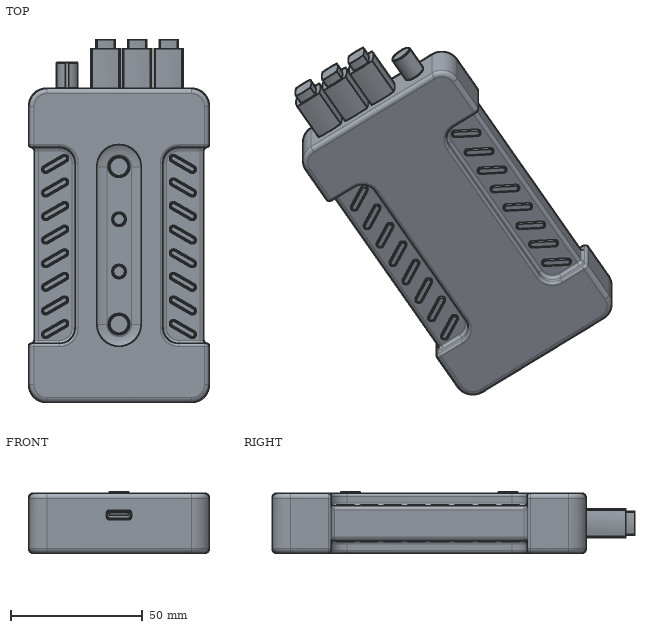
import cadquery as cq
import math

case_width = 69.0
case_length = 119.9
case_height = 23.0
case_corner_radius = 6.9
case_edge_radius = 2.0

grip_length = 74.8
grip_inner_x = 16.8
grip_corner_radius = 6.0
grip_rim_radius = 1.1
grip_root_radius = 1.2
waist_width = 64.8
waist_height = 13.3
waist_edge_radius = 1.5

rib_count = 8
rib_pitch = 9.0
rib_width = 2.9
rib_top_width = 1.8
rib_height = 0.48
rib_center_span = 8.3
rib_angle = 30.0
rib_x = 24.4
rib_row_y = -0.4

groove_half_width = 8.5
groove_floor_half_width = 4.7
groove_depth = 1.0
groove_end_y = 30.0

button_hole_diameter = 8.2
button_diameter = 7.5
button_chamfer = 0.3
button_protrusion = 0.5
light_hole_diameter = 5.4
light_diameter = 4.3
light_y = 10.0
ring_gap_depth = 0.5

socket_width = 9.5
socket_height = 3.7
socket_corner_radius = 1.2
socket_wall = 0.5
socket_z = 3.2
socket_rim_depth = 0.4
socket_tongue_width = 7.2
socket_tongue_height = 1.0
socket_tongue_recess = 1.2
socket_tongue_lift = 0.3
socket_depth = 3.0

overall_length = 138.5
jack_x = -19.8
jack_diameter = 8.2
jack_length = 9.8
jack_chamfer = 0.3
jack_groove_diameter = 1.2
plug_count = 3
plug_middle_x = 6.9
plug_pitch = 12.0
plug_body_width = 11.2
plug_body_height = 11.1
plug_body_length = 15.1
plug_tip_width = 7.3
plug_tip_height = 9.1
plug_body_bulge = 0.5
plug_tip_bulge = 0.4

top_z = case_height / 2
back_y = case_length / 2
front_y = -back_y
groove_floor_z = top_z - groove_depth
sink = 1.4
pick_margin = 0.1


def grip_window(side):
    """Cutter for one side window, open outwards, with rounded inner corners."""
    reach = case_width - grip_inner_x
    return (
        cq.Workplane("XY")
        .box(reach, grip_length, 2 * case_height)
        .translate((grip_inner_x + reach / 2, 0, 0))
        .edges("|Z and <X")
        .fillet(grip_corner_radius)
        .rotate((0, 0, 0), (0, 0, 1), 0 if side > 0 else 180)
    )


def inner_grip_edges(side, z):
    """Select the edges around the inner end of one grip window at height z."""
    near = side * (grip_inner_x - pick_margin)
    far = side * (grip_inner_x + grip_corner_radius + pick_margin)
    half_length = grip_length / 2 + pick_margin
    return cq.selectors.BoxSelector(
        (min(near, far), -half_length, z - pick_margin),
        (max(near, far), half_length, z + pick_margin),
        boundingbox=True,
    )


def build_case():
    case = (
        cq.Workplane("XY")
        .box(case_width, case_length, case_height)
        .edges("|Z")
        .fillet(case_corner_radius)
        .faces("<Z or >Z")
        .edges()
        .fillet(case_edge_radius)
    )
    for side in (-1, 1):
        case = case.cut(grip_window(side))
    for side in (-1, 1):
        case = case.edges(inner_grip_edges(side, top_z)).fillet(grip_rim_radius)
    waist = (
        cq.Workplane("XY")
        .box(waist_width, grip_length, waist_height)
        .edges("|Y")
        .fillet(waist_edge_radius)
    )
    case = case.union(waist)
    for side in (-1, 1):
        case = case.edges(inner_grip_edges(side, waist_height / 2)).fillet(grip_root_radius)
    return case


def build_rib():
    """One rib lying along X on Z = 0, with sides sloping in to a narrower top."""
    slope_run = (rib_width - rib_top_width) / 2
    slope_angle = math.degrees(math.atan(slope_run / rib_height))
    foot = cq.Workplane("XY").slot2D(rib_center_span + rib_width, rib_width).extrude(-sink)
    ridge = (
        cq.Workplane("XY")
        .slot2D(rib_center_span + rib_width, rib_width)
        .extrude(rib_height, taper=slope_angle)
    )
    return foot.union(ridge)


def add_ribs(case):
    rib = build_rib().rotate((0, 0, 0), (0, 0, 1), rib_angle)
    for index in range(rib_count):
        y = rib_row_y + (index - (rib_count - 1) / 2) * rib_pitch
        top_left = rib.translate((-rib_x, y, waist_height / 2))
        top_pair = top_left.union(top_left.mirror("YZ"))
        case = case.union(top_pair).union(top_pair.mirror("XY"))
    return case


def groove_half_profile():
    """Half cross-section of the dish: flat floor with a side curving up to the top face."""
    run = groove_half_width - groove_floor_half_width
    arc_radius = (run**2 + groove_depth**2) / (2 * groove_depth)
    half_angle = math.asin(run / arc_radius) / 2
    middle_x = groove_floor_half_width + arc_radius * math.sin(half_angle)
    middle_z = groove_floor_z + arc_radius * (1 - math.cos(half_angle))
    return (
        cq.Workplane("XZ")
        .moveTo(0, groove_floor_z)
        .lineTo(groove_floor_half_width, groove_floor_z)
        .threePointArc((middle_x, middle_z), (groove_half_width, top_z))
        .lineTo(0, top_z)
        .close()
    )


def groove_cutter():
    """Straight dished channel with a bowl of the same section at each end."""
    half_channel = groove_half_profile().extrude(groove_end_y, both=True)
    bowl = groove_half_profile().revolve(360, (0, 0, 0), (0, 1, 0))
    cutter = half_channel.union(half_channel.mirror("YZ"))
    for y in (-groove_end_y, groove_end_y):
        cutter = cutter.union(bowl.translate((0, y, 0)))
    return cutter


def ring_gap(outer_diameter, inner_diameter, y):
    """Cutter for a narrow ring in the groove floor."""
    return (
        cq.Workplane("XY")
        .workplane(offset=groove_floor_z - ring_gap_depth)
        .center(0, y)
        .circle(outer_diameter / 2)
        .circle(inner_diameter / 2)
        .extrude(ring_gap_depth + groove_depth)
    )


def build_button(y):
    return (
        cq.Workplane("XY")
        .workplane(offset=groove_floor_z - sink)
        .center(0, y)
        .circle(button_diameter / 2)
        .extrude(sink + groove_depth + button_protrusion)
        .faces(">Z")
        .edges()
        .chamfer(button_chamfer)
    )


def add_controls(case):
    case = case.cut(groove_cutter())
    for side in (-1, 1):
        case = case.cut(ring_gap(light_hole_diameter, light_diameter, side * light_y))
        case = case.cut(ring_gap(button_hole_diameter, button_diameter, side * groove_end_y))
        case = case.union(build_button(side * groove_end_y))
    return case


def socket_step(margin, depth):
    """Rounded opening cut into the front end, inset all round by a margin."""
    return (
        cq.Workplane("XZ", origin=(0, front_y, socket_z))
        .rect(socket_width - 2 * margin, socket_height - 2 * margin)
        .extrude(-depth)
        .edges("|Y")
        .fillet(socket_corner_radius - margin)
    )


def socket_cutter():
    """Rimmed socket opening, leaving a contact tongue standing inside."""
    tongue_z = socket_z + socket_tongue_lift
    tongue = (
        cq.Workplane("XZ", origin=(0, front_y + socket_tongue_recess, tongue_z))
        .rect(socket_tongue_width, socket_tongue_height)
        .extrude(-socket_depth)
    )
    opening = socket_step(0, socket_rim_depth).union(socket_step(socket_wall, socket_depth))
    return opening.cut(tongue)


def build_jack():
    jack = (
        cq.Workplane("XZ", origin=(jack_x, back_y, 0))
        .circle(jack_diameter / 2)
        .extrude(-jack_length)
        .faces("<Y or >Y")
        .edges()
        .chamfer(jack_chamfer)
    )
    key_groove = (
        cq.Workplane("XZ", origin=(jack_x, back_y, jack_diameter / 2))
        .circle(jack_groove_diameter / 2)
        .extrude(-jack_length)
    )
    return jack.cut(key_groove)


def bulged_block(x, width, height, bulge, end_y):
    """Block along Y whose four long faces bow outwards to the given width and height."""
    corner_x = width / 2 - bulge
    corner_z = height / 2 - bulge
    start_y = back_y - sink
    return (
        cq.Workplane("XZ", origin=(x, start_y, 0))
        .moveTo(corner_x, -corner_z)
        .threePointArc((width / 2, 0), (corner_x, corner_z))
        .threePointArc((0, height / 2), (-corner_x, corner_z))
        .threePointArc((-width / 2, 0), (-corner_x, -corner_z))
        .threePointArc((0, -height / 2), (corner_x, -corner_z))
        .close()
        .extrude(start_y - end_y)
    )


def build_plug(x):
    plug_body_end = back_y + plug_body_length
    body = bulged_block(x, plug_body_width, plug_body_height, plug_body_bulge, plug_body_end)
    tip = bulged_block(x, plug_tip_width, plug_tip_height, plug_tip_bulge, front_y + overall_length)
    return body.union(tip)


result = add_controls(add_ribs(build_case()))
result = result.cut(socket_cutter())
result = result.union(build_jack())
for index in range(plug_count):
    plug_x = plug_middle_x + (index - (plug_count - 1) / 2) * plug_pitch
    result = result.union(build_plug(plug_x))